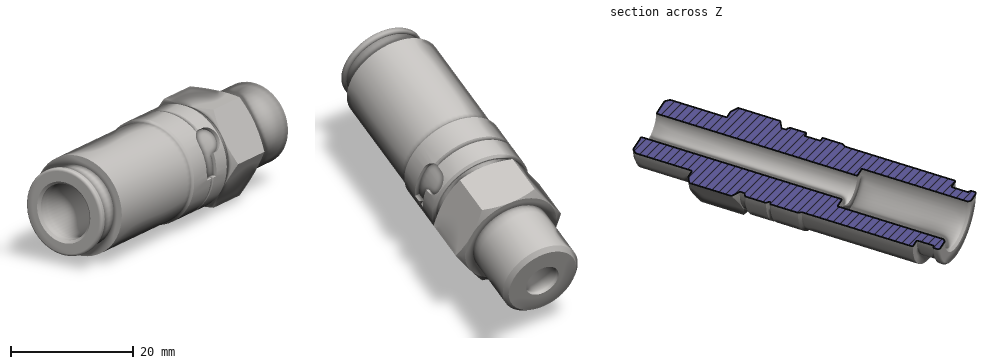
import cadquery as cq
import math


flange_end = 1.3
nose_end = 4.3
sleeve_end = 24.2
collar_end = 34.5
hex_start = 35.45
hex_end = 44.6
total_length = 55.5

thread_radius = 7.0
nose_radius = 7.0
flange_radius = 7.5
sleeve_radius = 8.6
collar_radius = 9.0
neck_radius = 8.3
bore_radius = 3.0
socket_radius = 4.85

flange_round = 0.45
thread_chamfer = 0.7
collar_front_chamfer_length = 0.5
collar_rear_chamfer = 0.4
socket_chamfer = 0.45
groove_center = 30.0
groove_half_width = 0.4
groove_depth = 0.55

hex_across_flats = 17.0
hex_across_corners = hex_across_flats / math.cos(math.radians(30))
hex_chamfer_length = 0.8

socket_depth = 19.4

notch_floor_radius = 8.2
entry_length = 5.55
entry_width = 4.45
entry_center = 31.15
entry_angle = 35.0
slot_width = 2.8
slot_end_angle = -5.0


def revolve_profile(profile):
    """Turn a closed (radius, Y) outline about the Y axis."""
    return profile.close().revolve(360, (0, 0, 0), (0, 1, 0))


def cylinder(radius, start, end):
    """Solid cylinder on the Y axis between two positions."""
    return cq.Workplane("XZ", origin=(0, start, 0)).circle(radius).extrude(start - end)


def make_turned_body():
    """Thread, neck, collar, sleeve and flanged nose."""
    flange = cylinder(flange_radius, 0, flange_end).edges().fillet(flange_round)
    nose = cylinder(nose_radius, flange_end / 2, nose_end)
    sleeve = cylinder(sleeve_radius, nose_end, sleeve_end)
    collar = revolve_profile(
        cq.Workplane("XY")
        .moveTo(0, sleeve_end)
        .lineTo(sleeve_radius, sleeve_end)
        .lineTo(collar_radius, sleeve_end + collar_front_chamfer_length)
        .lineTo(collar_radius, groove_center - groove_half_width)
        .lineTo(collar_radius - groove_depth, groove_center)
        .lineTo(collar_radius, groove_center + groove_half_width)
        .lineTo(collar_radius, collar_end - collar_rear_chamfer)
        .lineTo(collar_radius - collar_rear_chamfer, collar_end)
        .lineTo(0, collar_end)
    )
    neck = cylinder(neck_radius, collar_end, hex_start)
    thread = cylinder(thread_radius, hex_end, total_length).faces(">Y").chamfer(thread_chamfer)
    return flange.union(nose).union(sleeve).union(collar).union(neck).union(thread)


def make_hexagon():
    """Wrench hexagon with conically chamfered corners at both ends."""
    prism = (
        cq.Workplane("XZ", origin=(0, hex_start, 0))
        .polygon(6, hex_across_corners)
        .extrude(hex_start - hex_end)
    )
    end_radius = hex_across_flats / 2
    corner_radius = hex_across_corners / 2
    envelope = revolve_profile(
        cq.Workplane("XY")
        .moveTo(0, hex_start)
        .lineTo(end_radius, hex_start)
        .lineTo(corner_radius, hex_start + hex_chamfer_length)
        .lineTo(corner_radius, hex_end - hex_chamfer_length)
        .lineTo(end_radius, hex_end)
        .lineTo(0, hex_end)
    )
    return prism.intersect(envelope)


def make_bore():
    """Through bore, wider socket and the chamfer at its mouth."""
    return revolve_profile(
        cq.Workplane("XY")
        .lineTo(socket_radius + socket_chamfer, 0)
        .lineTo(socket_radius, socket_chamfer)
        .lineTo(socket_radius, socket_depth)
        .lineTo(bore_radius, socket_depth)
        .lineTo(bore_radius, total_length)
        .lineTo(0, total_length)
    )


def make_notch():
    """Bayonet notch, cut down to a cylindrical floor in the collar."""
    cutter_reach = 2 * collar_radius
    entry = (
        cq.Workplane("YZ", origin=(0, entry_center, 0))
        .slot2D(entry_length, entry_width)
        .extrude(cutter_reach)
        .rotate((0, 0, 0), (0, 1, 0), -entry_angle)
    )
    slot_start = entry_center - entry_length / 2
    start, end = math.radians(slot_end_angle), math.radians(entry_angle)
    slot = (
        cq.Workplane("XZ", origin=(0, slot_start, 0))
        .lineTo(cutter_reach * math.cos(start), cutter_reach * math.sin(start))
        .lineTo(cutter_reach * math.cos(end), cutter_reach * math.sin(end))
        .close()
        .extrude(-slot_width)
    )
    return entry.union(slot).cut(cylinder(notch_floor_radius, sleeve_end, hex_start))


result = make_turned_body().union(make_hexagon()).cut(make_notch()).cut(make_bore())